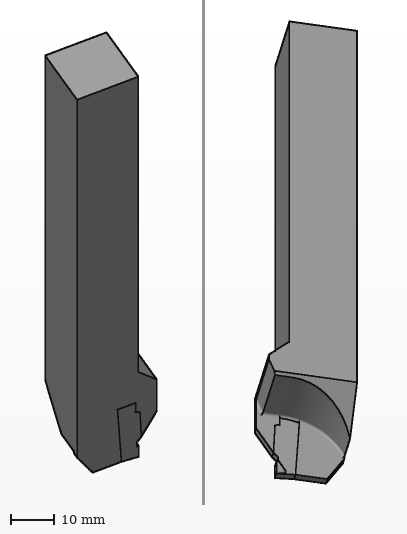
import cadquery as cq
import math

total_height = 127.0
shank_size = 16.0
head_depth = 20.8

shoulder_bottom_z = 23.5
shoulder_top_z = shoulder_bottom_z + (head_depth - shank_size)
back_slope_top_z = 13.1
back_slope_end = (16.8, 6.4)
toe_y = 4.1
blade_bottom_z = 0.5
front_slope_top_z = 7.5

blade_thickness = 1.7
blade_face_x = shank_size - blade_thickness
root_fillet = 0.6

pocket_roof_z = 17.9
pocket_arc_start_y = 15.2
pocket_front_z = 8.1
pocket_flare_y = 19.3
pocket_flare_top_z = 22.0
margin = 2.5

relief_top_z = 18.7
relief_end_x = 8.0

insert_top_z = 18.4
insert_stop_y = 15.2
insert_stop_z = 15.2
insert_back_y = 16.4
insert_back_z = 14.9
chip_face_y = 15.6
chip_face_top_z = 5.1
tip_y = 16.1
tip_height = 3.5
insert_front_top_y = 10.5
insert_front_bottom_y = 11.5
tip_side_step = 0.5
tip_land_bottom_y = 13.8
tip_corner_radius = 0.4


def extrude_yz(outline, start_x, end_x):
    """Extrude a closed wire drawn in YZ from start_x to end_x."""
    return outline.extrude(end_x - start_x).translate((start_x, 0, 0))


def holder_blank():
    outline = (
        cq.Workplane("YZ")
        .polyline([
            (0, total_height),
            (shank_size, total_height),
            (shank_size, shoulder_top_z),
            (head_depth, shoulder_bottom_z),
            (head_depth, back_slope_top_z),
            back_slope_end,
            (insert_front_bottom_y, back_slope_end[1]),
            (insert_front_bottom_y, blade_bottom_z),
            (toe_y, blade_bottom_z),
            (0, front_slope_top_z),
        ])
        .close()
    )
    return extrude_yz(outline, 0, shank_size)


def clearance_pocket():
    """Space beside the blade, with rounded edges where it meets the blade face."""
    drop = pocket_roof_z - pocket_front_z
    radius = (pocket_arc_start_y**2 + drop**2) / (2 * drop)
    half_angle = math.atan2(pocket_arc_start_y, radius - drop) / 2
    arc_middle = (
        pocket_arc_start_y - radius * math.sin(half_angle),
        pocket_roof_z - radius * (1 - math.cos(half_angle)),
    )
    flare_slope = (pocket_flare_top_z - pocket_roof_z) / (head_depth - pocket_flare_y)
    outline = (
        cq.Workplane("YZ")
        .moveTo(-margin, pocket_front_z)
        .lineTo(0, pocket_front_z)
        .threePointArc(arc_middle, (pocket_arc_start_y, pocket_roof_z))
        .lineTo(pocket_flare_y, pocket_roof_z)
        .lineTo(head_depth + margin, pocket_flare_top_z + flare_slope * margin)
        .lineTo(head_depth + margin, -margin)
        .lineTo(-margin, -margin)
        .close()
    )
    return extrude_yz(outline, -margin, blade_face_x).faces(">X").edges().fillet(root_fillet)


def side_relief():
    """Wedge removed below the slope on the -X side."""
    wedge = cq.Workplane("XZ").polyline([
        (0, relief_top_z),
        (relief_end_x, pocket_front_z),
        (0, pocket_front_z),
    ])
    return wedge.close().extrude(-head_depth)


def make_insert():
    body_outline = (
        cq.Workplane("YZ")
        .polyline([
            (insert_front_top_y, insert_top_z),
            (insert_stop_y, insert_top_z),
            (insert_stop_y, insert_stop_z),
            (insert_back_y, insert_back_z),
            back_slope_end,
            (chip_face_y, chip_face_top_z),
            (chip_face_y, tip_height),
            (tip_y, tip_height),
            (tip_y, 0),
            (insert_front_bottom_y, blade_bottom_z),
        ])
        .close()
    )
    body = extrude_yz(body_outline, blade_face_x, shank_size)
    tip_outline = (
        cq.Workplane("YZ")
        .polyline([
            (chip_face_y, tip_height),
            (tip_y, tip_height),
            (tip_y, 0),
            (tip_land_bottom_y, blade_bottom_z),
        ])
        .close()
    )
    tip_side = extrude_yz(tip_outline, blade_face_x - tip_side_step, blade_face_x)
    tip_side = tip_side.faces("<X").edges("<Z").fillet(tip_corner_radius)
    return body.union(tip_side)


def make_holder(insert):
    """Shank and blade, with a seat that matches the insert."""
    return holder_blank().cut(clearance_pocket()).cut(side_relief()).cut(insert)


insert = make_insert()
holder = make_holder(insert)

result = cq.Compound.makeCompound([holder.solids().val(), insert.solids().val()])